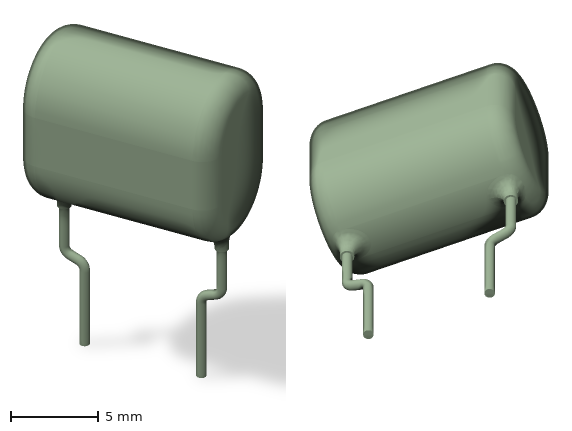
import cadquery as cq
import math

body_length = 12.6
body_depth = 7.4
flat_height = 3.3

end_round = 1.25
body_height = body_depth + flat_height

collar_diameter = 0.83
collar_drop = 1.04
flare_radius = 1.0

overall_height = 20.7
lead_diameter = 0.6
upper_lead_x = body_length / 2 - end_round
lower_lead_x = 3.75
lead_bottom = body_height - overall_height
bend_start_z = -3.7
bend_radius = lead_diameter
bend_angle = math.radians(70.0)

bend_shift = bend_radius * (1 - math.cos(bend_angle))
bend_drop = bend_radius * math.sin(bend_angle)
run_shift = upper_lead_x - lower_lead_x - 2 * bend_shift
run_drop = run_shift / math.tan(bend_angle)


def make_body():
    """Rounded stadium block with a flared collar above each lead."""
    block = (
        cq.Workplane("YZ")
        .center(0, body_height / 2)
        .slot2D(body_height, body_depth, 90)
        .extrude(body_length / 2, both=True)
        .faces("<X or >X")
        .edges()
        .fillet(end_round)
    )
    collars = (
        cq.Workplane("XY", origin=(0, 0, -collar_drop))
        .pushPoints([(-upper_lead_x, 0), (upper_lead_x, 0)])
        .circle(collar_diameter / 2)
        .extrude(collar_drop + body_depth / 2)
    )
    joined = block.union(collars)

    band = collar_diameter / 2
    reach = 2 * collar_diameter
    joint_band = cq.selectors.BoxSelector(
        (-upper_lead_x - reach, -reach, -band),
        (upper_lead_x + reach, reach, band),
    )
    return joined.edges(joint_band).fillet(flare_radius)


def make_lead(side):
    """Round wire with an inward double bend; side is -1 or 1 along X."""
    half_angle = bend_angle / 2
    half_shift = bend_radius * (1 - math.cos(half_angle))
    half_drop = bend_radius * math.sin(half_angle)
    bend_end_z = bend_start_z - 2 * bend_drop - run_drop

    path = (
        cq.Workplane("XZ")
        .moveTo(side * upper_lead_x, -collar_drop)
        .lineTo(side * upper_lead_x, bend_start_z)
        .threePointArc(
            (side * (upper_lead_x - half_shift), bend_start_z - half_drop),
            (side * (upper_lead_x - bend_shift), bend_start_z - bend_drop),
        )
        .lineTo(side * (lower_lead_x + bend_shift), bend_end_z + bend_drop)
        .threePointArc(
            (side * (lower_lead_x + half_shift), bend_end_z + half_drop),
            (side * lower_lead_x, bend_end_z),
        )
        .lineTo(side * lower_lead_x, lead_bottom)
    )
    return (
        cq.Workplane("XY", origin=(side * upper_lead_x, 0, -collar_drop))
        .circle(lead_diameter / 2)
        .sweep(path)
    )


body = make_body()
leads = [make_lead(side) for side in (-1, 1)]

result = cq.Compound.makeCompound([body.val(), *[lead.val() for lead in leads]])